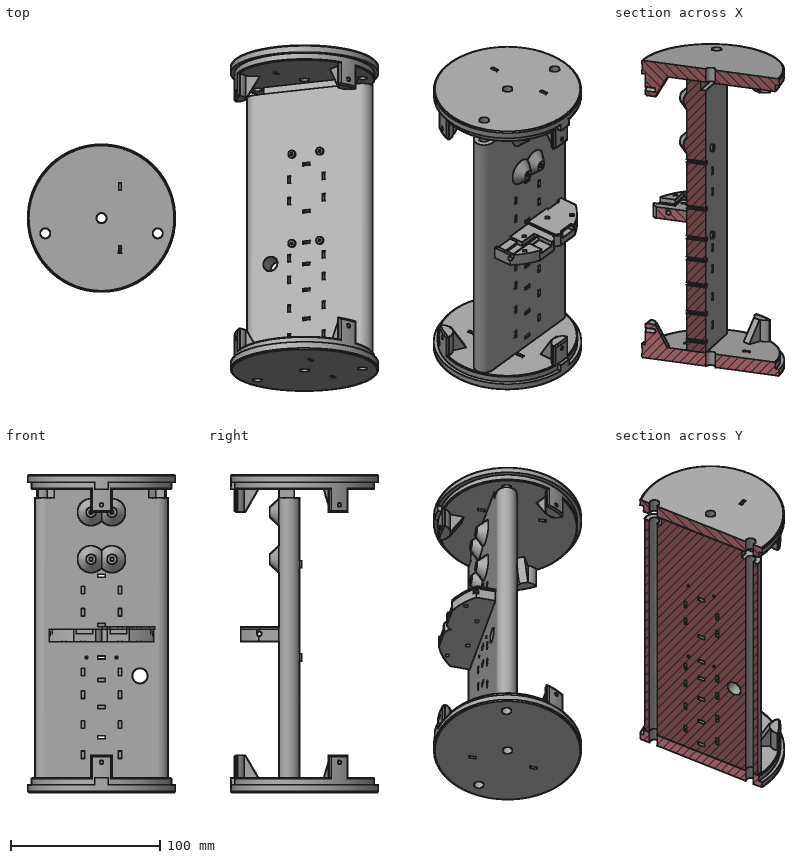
import cadquery as cq
import math

TOTAL_HEIGHT = 213.0

CAP_DIA = 99.0
SPIGOT_DIA = 94.0
FLANGE_THICKNESS = 5.1
CAP_THICKNESS = 9.8
FLANGE_CHAMFER = 0.9
SPIGOT_CHAMFER = 0.6
BORE_DIA = 6.5
KEY_WIDTH = 9.0
CABLE_SLOT = (2.0, 5.0)
CABLE_SLOT_X = 12.4
CABLE_SLOT_Y = 21.0

TAB_ANGLES = (30, 150, 270)
TAB_HEIGHT = 15.3
TAB_WIDTH = 14.5
TAB_DEPTH = 7.2
TAB_FLANK_LENGTH = 0.6
TAB_CHAMFER = 1.0
TAB_HOLE_DIA = 2.5
TAB_HOLE_HEIGHT = 10.5
TAB_HOLE_DEPTH = 7.2
GUSSET_FOOT_RADIUS = 30.9
GUSSET_THICKNESS = 6.0

PANEL_WIDTH = 89.5
PANEL_THICKNESS = 14.0
PANEL_FRONT_Y = -17.3
SHOULDER_Z = 197.5
NECK_WIDTH = 63.5
NECK_THICKNESS = 10.5

FUNNEL_X = 7.0
FUNNEL_ROWS_Z = (156.3, 187.9)
FUNNEL_BASE_DIA = 18.0
FUNNEL_TIP_DIA = 6.5
FUNNEL_HEIGHT = 6.2
FUNNEL_HOLE_DIA = 2.5

SLOT_LENGTH = 5.0
SLOT_WIDTH = 2.0
UPRIGHT_SLOT_X = 12.4
UPRIGHT_SLOT_ROWS_Z = (25.3, 45.5, 65.5, 80.7, 120.8, 135.7)
LEVEL_SLOT_ROWS_Z = (17.0, 37.0, 57.3, 75.5, 90.5, 112.3, 145.3)
CABLE_HOLE_DIA = 10.0
CABLE_HOLE_X = 25.8
CABLE_HOLE_Z = 78.2

SCREW_X = 10.0
SCREW_ROWS_Z = (90.5, 153.0)
SCREW_BOSS_DIA = 5.0
SCREW_BOSS_HEIGHT = 1.5
SCREW_HOLE_DIA = 1.6

TRAY_WIDTH = 70.3
TRAY_FRONT_Y = -42.8
TRAY_ARC_RADIUS = 46.6
TRAY_BOTTOM_Z = 101.2
TRAY_HEIGHT = 8.3
TRAY_END_WALL = 2.1
POCKET_DEPTH = 3.2
BLOCK_INNER_X = 6.0
BLOCK_OUTER_X = 18.7
BLOCK_FRONT_Y = -27.7
WINDOW_OUTER_X = 16.8
POCKET_FRONT_Y = -32.0
LEDGE_WIDTH = 6.4
LEDGE_HEIGHT = 1.5
WIRE_HOLE_DIA = 3.0
WIRE_HOLE_Y = -30.2
MOUTH_HALF_WIDTH = 3.8
MOUTH_DEPTH = 3.8
MOUTH_FLANK_RADIUS = 6.5
TRAY_HOLE_DIA = 2.5
TRAY_HOLES = ((12.4, -24.3), (25.1, -35.1))

LID_THICKNESS = 1.5
LID_INNER_X = 0.5
LID_OUTER_X = 35.8
LID_HOLE_DIA = 3.0
LID_WINDOW_DEPTH = 1.7
LID_BACK_NOTCH_X = (20.5, 32.0)
LID_BACK_NOTCH_DEPTH = 1.5

PANEL_BACK_Y = PANEL_FRONT_Y + PANEL_THICKNESS
PANEL_MID_Y = PANEL_FRONT_Y + PANEL_THICKNESS / 2
TIE_ROD_X = PANEL_WIDTH / 2 - PANEL_THICKNESS / 2
TRAY_TOP_Z = TRAY_BOTTOM_Z + TRAY_HEIGHT
POCKET_FLOOR_Z = TRAY_TOP_Z - POCKET_DEPTH
TRAY_FLAT_X = math.sqrt(TRAY_ARC_RADIUS**2 - TRAY_FRONT_Y**2)


def box_between(x0, x1, y0, y1, z0, z1):
    """Axis-aligned box given by its limits along each axis."""
    return cq.Workplane("XY").box(x1 - x0, y1 - y0, z1 - z0, centered=False).translate((x0, y0, z0))


def rod_along_y(x, z, dia, y_start, y_end):
    """Cylinder along Y between two Y positions."""
    length = y_end - y_start
    plane = cq.Plane(origin=(x, y_start, z), xDir=(1, 0, 0), normal=(0, 1, 0))
    return cq.Workplane(plane).circle(dia / 2).extrude(length)


def make_tab(angle):
    """Rounded tab with its gusset and radial hole, standing on the spigot of the bottom cap."""
    rim = SPIGOT_DIA / 2
    back = rim - TAB_DEPTH
    base_z = CAP_THICKNESS - SPIGOT_CHAMFER
    tip_z = CAP_THICKNESS + TAB_HEIGHT
    half = TAB_WIDTH / 2
    face_half = half - TAB_CHAMFER
    face_x = math.sqrt(rim**2 - face_half**2)
    flank_outer_x = face_x - TAB_CHAMFER
    flank_inner_x = flank_outer_x - TAB_FLANK_LENGTH
    post = (
        cq.Workplane("XY", origin=(0, 0, base_z))
        .moveTo(face_x, face_half)
        .lineTo(flank_outer_x, half)
        .lineTo(flank_inner_x, half)
        .threePointArc((back, 0), (flank_inner_x, -half))
        .lineTo(flank_outer_x, -half)
        .lineTo(face_x, -face_half)
        .threePointArc((rim, 0), (face_x, face_half))
        .close()
        .extrude(tip_z - base_z)
    )
    tip_bevel = (
        cq.Workplane("XZ")
        .moveTo(rim - 2 * TAB_CHAMFER, tip_z + TAB_CHAMFER)
        .lineTo(rim + TAB_CHAMFER, tip_z - 2 * TAB_CHAMFER)
        .lineTo(rim + TAB_CHAMFER, tip_z + TAB_CHAMFER)
        .close()
        .revolve(360, (0, 0, 0), (0, 1, 0))
    )
    post = post.cut(tip_bevel)

    gusset_end = rim - TAB_DEPTH / 2
    gusset = (
        cq.Workplane("XZ")
        .moveTo(GUSSET_FOOT_RADIUS, CAP_THICKNESS)
        .lineTo(back, tip_z)
        .lineTo(gusset_end, tip_z)
        .lineTo(gusset_end, CAP_THICKNESS)
        .close()
        .extrude(GUSSET_THICKNESS / 2, both=True)
    )
    hole = (
        cq.Workplane("YZ", origin=(rim - TAB_HOLE_DEPTH, 0, CAP_THICKNESS + TAB_HOLE_HEIGHT))
        .circle(TAB_HOLE_DIA / 2)
        .extrude(2 * TAB_HOLE_DEPTH)
    )
    return post.union(gusset).cut(hole).rotate((0, 0, 0), (0, 0, 1), angle)


def make_bottom_cap():
    flange = (
        cq.Workplane("XY").circle(CAP_DIA / 2).extrude(FLANGE_THICKNESS).faces("<Z").chamfer(FLANGE_CHAMFER)
    )
    spigot = (
        cq.Workplane("XY").circle(SPIGOT_DIA / 2).extrude(CAP_THICKNESS).faces(">Z").chamfer(SPIGOT_CHAMFER)
        .intersect(box_between(-CAP_DIA, CAP_DIA, -CAP_DIA, CAP_DIA, FLANGE_CHAMFER, CAP_THICKNESS))
    )
    key = (
        cq.Workplane("XY").circle(CAP_DIA / 2).extrude(CAP_THICKNESS)
        .intersect(box_between(-KEY_WIDTH / 2, KEY_WIDTH / 2, -CAP_DIA / 2, -SPIGOT_DIA / 2 + TAB_CHAMFER,
                               FLANGE_CHAMFER, CAP_THICKNESS))
    )
    cap = flange.union(spigot).union(key)
    for angle in TAB_ANGLES:
        cap = cap.union(make_tab(angle))

    bores = (
        cq.Workplane("XY")
        .pushPoints([(0, 0), (-TIE_ROD_X, PANEL_MID_Y), (TIE_ROD_X, PANEL_MID_Y)])
        .circle(BORE_DIA / 2)
        .extrude(CAP_THICKNESS)
    )
    cable_slots = (
        cq.Workplane("XY")
        .pushPoints([(-CABLE_SLOT_X, -CABLE_SLOT_Y), (-CABLE_SLOT_X, CABLE_SLOT_Y)])
        .rect(*CABLE_SLOT)
        .extrude(CAP_THICKNESS)
    )
    return cap.cut(bores).cut(cable_slots)


def make_top_cap(lower):
    """The same cap turned over about the Y direction."""
    mid_z = TOTAL_HEIGHT / 2
    return lower.rotate((0, 0, mid_z), (0, 1, mid_z), 180)


def make_funnel(x, z):
    """Blunt cone on the panel front."""
    profile = (
        cq.Workplane("XY")
        .lineTo(FUNNEL_BASE_DIA / 2, 0)
        .lineTo(FUNNEL_TIP_DIA / 2, -FUNNEL_HEIGHT)
        .lineTo(0, -FUNNEL_HEIGHT)
        .close()
    )
    return profile.revolve(360, (0, 0, 0), (0, 1, 0)).translate((x, PANEL_FRONT_Y, z))


def make_panel():
    body = (
        cq.Workplane("XY", origin=(0, PANEL_MID_Y, CAP_THICKNESS))
        .slot2D(PANEL_WIDTH, PANEL_THICKNESS)
        .extrude(SHOULDER_Z - CAP_THICKNESS)
    )
    neck = box_between(-NECK_WIDTH / 2, NECK_WIDTH / 2, PANEL_FRONT_Y, PANEL_FRONT_Y + NECK_THICKNESS,
                       SHOULDER_Z, TOTAL_HEIGHT - CAP_THICKNESS)
    panel = body.union(neck)

    tie_rod_bores = (
        cq.Workplane("XY")
        .pushPoints([(-TIE_ROD_X, PANEL_MID_Y), (TIE_ROD_X, PANEL_MID_Y)])
        .circle(BORE_DIA / 2)
        .extrude(TOTAL_HEIGHT)
    )
    panel = panel.cut(tie_rod_bores)

    funnel_places = [(x, z) for x in (-FUNNEL_X, FUNNEL_X) for z in FUNNEL_ROWS_Z]
    tip_y = PANEL_FRONT_Y - FUNNEL_HEIGHT
    for x, z in funnel_places:
        panel = panel.union(make_funnel(x, z))
    for x, z in funnel_places:
        panel = panel.cut(rod_along_y(x, z, FUNNEL_HOLE_DIA, tip_y, PANEL_FRONT_Y))

    upright = [(x, z) for x in (-UPRIGHT_SLOT_X, UPRIGHT_SLOT_X) for z in UPRIGHT_SLOT_ROWS_Z]
    level = [(0, z) for z in LEVEL_SLOT_ROWS_Z]
    front = cq.Workplane("XZ", origin=(0, PANEL_BACK_Y, 0))
    panel = panel.cut(front.pushPoints(upright).rect(SLOT_WIDTH, SLOT_LENGTH).extrude(PANEL_THICKNESS))
    panel = panel.cut(front.pushPoints(level).rect(SLOT_LENGTH, SLOT_WIDTH).extrude(PANEL_THICKNESS))
    panel = panel.cut(rod_along_y(CABLE_HOLE_X, CABLE_HOLE_Z, CABLE_HOLE_DIA, PANEL_FRONT_Y, PANEL_BACK_Y))

    boss_end_y = PANEL_BACK_Y + SCREW_BOSS_HEIGHT
    for x in (-SCREW_X, SCREW_X):
        for z in SCREW_ROWS_Z:
            panel = panel.union(rod_along_y(x, z, SCREW_BOSS_DIA, PANEL_BACK_Y, boss_end_y))
            panel = panel.cut(rod_along_y(x, z, SCREW_HOLE_DIA, PANEL_FRONT_Y, boss_end_y))
    return panel


def tray_outline(z, height, half):
    """Slab with rounded front corners and a pointed mouth with bulging flanks at the front centre."""
    end_y = -math.sqrt(TRAY_ARC_RADIUS**2 - half**2)
    mouth_y = TRAY_FRONT_Y + MOUTH_DEPTH
    corner_angle = (math.atan2(end_y, half) + math.atan2(TRAY_FRONT_Y, TRAY_FLAT_X)) / 2
    corner_x = TRAY_ARC_RADIUS * math.cos(corner_angle)
    corner_y = TRAY_ARC_RADIUS * math.sin(corner_angle)
    return (
        cq.Workplane("XY", origin=(0, 0, z))
        .moveTo(-half, PANEL_FRONT_Y)
        .lineTo(-half, end_y)
        .threePointArc((-corner_x, corner_y), (-TRAY_FLAT_X, TRAY_FRONT_Y))
        .lineTo(-MOUTH_HALF_WIDTH, TRAY_FRONT_Y)
        .radiusArc((0, mouth_y), -MOUTH_FLANK_RADIUS)
        .radiusArc((MOUTH_HALF_WIDTH, TRAY_FRONT_Y), -MOUTH_FLANK_RADIUS)
        .lineTo(TRAY_FLAT_X, TRAY_FRONT_Y)
        .threePointArc((corner_x, corner_y), (half, end_y))
        .lineTo(half, PANEL_FRONT_Y)
        .close()
        .extrude(height)
    )


def right_tray_pocket():
    """Pocket beside and before the block, open at the front window, with a ledge along the panel."""
    wall_x = TRAY_WIDTH / 2 - TRAY_END_WALL
    ledge_y = PANEL_FRONT_Y - LEDGE_WIDTH
    beside = box_between(BLOCK_OUTER_X, wall_x, POCKET_FRONT_Y, ledge_y, POCKET_FLOOR_Z, TRAY_TOP_Z)
    above_ledge = box_between(BLOCK_OUTER_X, wall_x, ledge_y, PANEL_FRONT_Y,
                              POCKET_FLOOR_Z + LEDGE_HEIGHT, TRAY_TOP_Z)
    before = box_between(BLOCK_INNER_X, BLOCK_OUTER_X, POCKET_FRONT_Y, BLOCK_FRONT_Y, POCKET_FLOOR_Z, TRAY_TOP_Z)
    window = box_between(BLOCK_INNER_X, WINDOW_OUTER_X, TRAY_FRONT_Y, POCKET_FRONT_Y, POCKET_FLOOR_Z, TRAY_TOP_Z)
    return beside.union(above_ledge).union(before).union(window)


def make_tray():
    pocket = right_tray_pocket()
    tray = tray_outline(TRAY_BOTTOM_Z, TRAY_HEIGHT, TRAY_WIDTH / 2).cut(pocket).cut(pocket.mirror("YZ"))
    wire_hole = (
        cq.Workplane("YZ", origin=(0, WIRE_HOLE_Y, POCKET_FLOOR_Z))
        .circle(WIRE_HOLE_DIA / 2)
        .extrude(TRAY_WIDTH, both=True)
    )
    screw_holes = (
        cq.Workplane("XY", origin=(0, 0, TRAY_BOTTOM_Z))
        .pushPoints([(side * x, y) for side in (-1, 1) for x, y in TRAY_HOLES])
        .circle(TRAY_HOLE_DIA / 2)
        .extrude(TRAY_HEIGHT)
    )
    return tray.cut(wire_hole).cut(screw_holes)


def make_lid():
    top_z = TRAY_TOP_Z + LID_THICKNESS
    lid = tray_outline(TRAY_TOP_Z, LID_THICKNESS, LID_OUTER_X)
    lid = lid.intersect(box_between(LID_INNER_X, TRAY_WIDTH, TRAY_FRONT_Y, PANEL_FRONT_Y, TRAY_TOP_Z, top_z))
    window = box_between(BLOCK_INNER_X, WINDOW_OUTER_X, TRAY_FRONT_Y, TRAY_FRONT_Y + LID_WINDOW_DEPTH,
                         TRAY_TOP_Z, top_z)
    back_notch = box_between(*LID_BACK_NOTCH_X, PANEL_FRONT_Y - LID_BACK_NOTCH_DEPTH, PANEL_FRONT_Y,
                             TRAY_TOP_Z, top_z)
    holes = (
        cq.Workplane("XY", origin=(0, 0, TRAY_TOP_Z))
        .pushPoints(TRAY_HOLES)
        .circle(LID_HOLE_DIA / 2)
        .extrude(LID_THICKNESS)
    )
    return lid.cut(window).cut(back_notch).cut(holes)


bottom_cap = make_bottom_cap()
top_cap = make_top_cap(bottom_cap)
panel = make_panel()
tray = make_tray()
lid = make_lid()

result = cq.Compound.makeCompound([bottom_cap.val(), top_cap.val(), panel.val(), tray.val(), lid.val()])